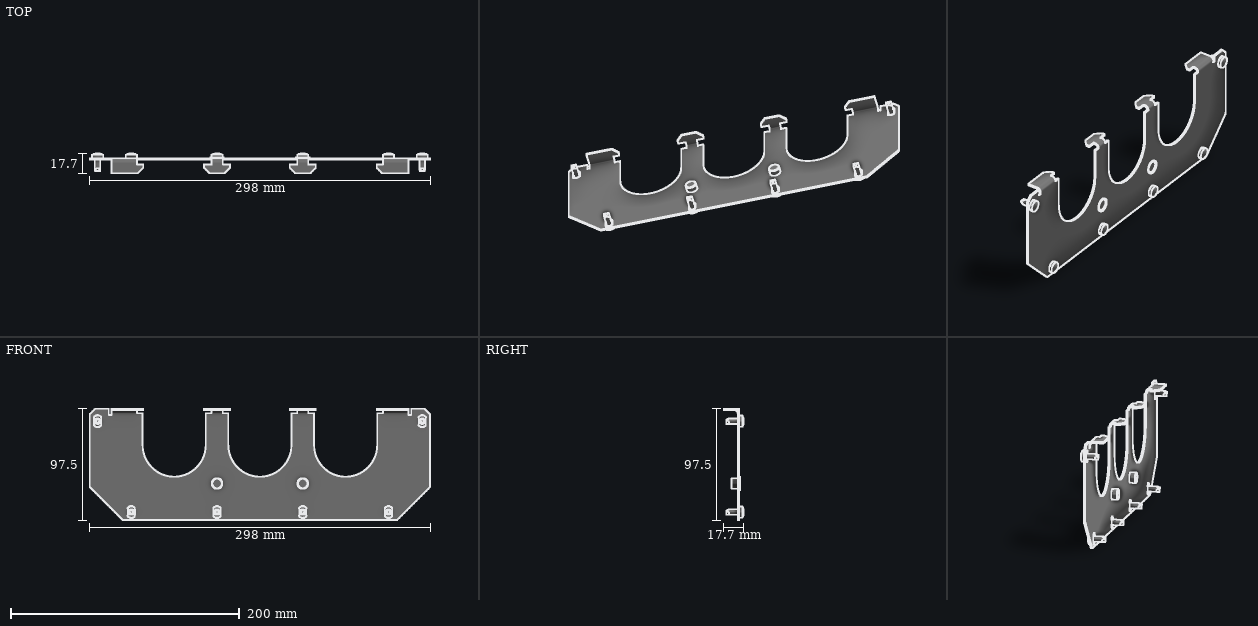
import cadquery as cq
import math

PLATE_LENGTH = 298.0
PLATE_HEIGHT = 97.5
SHEET = 1.5
TOP_CHAMFER = 5.0
BOTTOM_CHAMFER = 29.0

BAY_PITCH = 75.0
BAY_COUNT = 3
BAY_DIAMETER = 55.0
BAY_CENTRE_Z = 65.5
FINGER_WIDTH = BAY_PITCH - BAY_DIAMETER

BEND_OUTER_RADIUS = 4.0
BEND_INNER_RADIUS = BEND_OUTER_RADIUS - SHEET
TAB_REACH = 13.5
WING_START = 5.5
WING_CHAMFER = 5.0
FINGER_NECK_WIDTH = 10.0
FINGER_TAB_WIDTH = 23.0
END_NECK_WIDTH = 22.5
END_TAB_WIDTH = 28.0
END_TAB_OUTER_X = 130.0
NOTCH_WIDTH = 2.2
NOTCH_DEPTH = 5.5

SCREW_DIAMETER = 5.0
SCREW_LENGTH = 11.5
TIP_FLAT_LENGTH = 2.7
TIP_TRIANGLE_CIRCLE = 4.8
HEAD_DIAMETER = 10.0
OVERALL_DEPTH = 17.69
HEAD_HEIGHT = OVERALL_DEPTH - TAB_REACH
HEAD_RIM_HEIGHT = 2.7
SLOT_WIDTH = 6.5
SLOT_HEIGHT = 10.5
UPPER_SCREW_X = 142.0
UPPER_SCREW_Z = 86.5
LOWER_SCREW_Z = 7.0

PLUG_DIAMETER = 9.5
PLUG_REACH = 5.5
PLUG_CHAMFER = 0.6
COLLAR_DIAMETER = 12.0
COLLAR_THICKNESS = 0.8
PLUG_Z = 32.0

finger_centres = [-BAY_PITCH / 2, BAY_PITCH / 2]
bay_centres = [BAY_PITCH * (i - (BAY_COUNT - 1) / 2) for i in range(BAY_COUNT)]
outer_bay_edge = bay_centres[-1] + BAY_DIAMETER / 2
shoulder_z = PLATE_HEIGHT - BEND_OUTER_RADIUS
plug_places = [(x, PLUG_Z) for x in finger_centres]
screw_places = [(side * UPPER_SCREW_X, UPPER_SCREW_Z) for side in (-1, 1)]
screw_places += [(BAY_PITCH * (i - BAY_COUNT / 2), LOWER_SCREW_Z) for i in range(BAY_COUNT + 1)]


def front_plane(y):
    """Sketch plane at a given Y, drawn in X and Z; positive extrusion runs to -Y."""
    return cq.Workplane("XZ", origin=(0, y, 0))


def box_between(x_range, y_range, z_range):
    size = [high - low for low, high in (x_range, y_range, z_range)]
    return cq.Workplane("XY").box(*size, centered=False).translate((x_range[0], y_range[0], z_range[0]))


def plate_outline():
    """Flat sheet outline with the two top chamfers and the two bottom corner cuts."""
    sheet = front_plane(0).rect(PLATE_LENGTH, PLATE_HEIGHT).extrude(SHEET).translate((0, 0, PLATE_HEIGHT / 2))
    sheet = sheet.edges("|Y and >Z").chamfer(TOP_CHAMFER)
    return sheet.edges("|Y and <Z").chamfer(BOTTOM_CHAMFER)


def bay_cutter(centre_x):
    """Round-bottomed bay through the sheet, open at the top."""
    radius = BAY_DIAMETER / 2
    return (
        front_plane(0)
        .moveTo(centre_x - radius, PLATE_HEIGHT)
        .lineTo(centre_x - radius, BAY_CENTRE_Z)
        .threePointArc((centre_x, BAY_CENTRE_Z - radius), (centre_x + radius, BAY_CENTRE_Z))
        .lineTo(centre_x + radius, PLATE_HEIGHT)
        .close()
        .extrude(SHEET)
    )


def tab_bend(x_start, width):
    """Bent neck that rises from the shoulder and turns forward, as wide as the neck."""
    diagonal = math.sqrt(0.5)
    return (
        cq.Workplane("YZ", origin=(x_start, 0, 0))
        .moveTo(0, shoulder_z)
        .threePointArc(
            (-BEND_OUTER_RADIUS * (1 - diagonal), shoulder_z + BEND_OUTER_RADIUS * diagonal),
            (-BEND_OUTER_RADIUS, PLATE_HEIGHT),
        )
        .lineTo(-WING_START, PLATE_HEIGHT)
        .lineTo(-WING_START, PLATE_HEIGHT - SHEET)
        .lineTo(-BEND_OUTER_RADIUS, PLATE_HEIGHT - SHEET)
        .threePointArc(
            (-BEND_OUTER_RADIUS + BEND_INNER_RADIUS * diagonal, shoulder_z + BEND_INNER_RADIUS * diagonal),
            (-SHEET, shoulder_z),
        )
        .close()
        .extrude(width)
    )


def tab_wing(x_range, chamfered_corners):
    """Flat lip of a tab; the selected front corners are cut at 45 degrees."""
    wing = box_between(x_range, (-TAB_REACH, -WING_START), (PLATE_HEIGHT - SHEET, PLATE_HEIGHT))
    return wing.edges(chamfered_corners).chamfer(WING_CHAMFER)


def finger_tab(centre_x):
    neck = tab_bend(centre_x - FINGER_NECK_WIDTH / 2, FINGER_NECK_WIDTH)
    half_wing = FINGER_TAB_WIDTH / 2
    return neck.union(tab_wing((centre_x - half_wing, centre_x + half_wing), "|Z and <Y"))


def left_end_tab():
    """Tab beside the left corner, straight on the outside and winged toward the bay."""
    neck = tab_bend(-END_TAB_OUTER_X, END_NECK_WIDTH)
    return neck.union(tab_wing((-END_TAB_OUTER_X, END_TAB_WIDTH - END_TAB_OUTER_X), "|Z and <Y and >X"))


def left_end_relief():
    """Lowered shoulder under the left end tab, with a deeper notch on its outer side."""
    notch_edge = -END_TAB_OUTER_X - NOTCH_WIDTH
    shoulder = box_between((-END_TAB_OUTER_X, -outer_bay_edge), (-SHEET, 0), (shoulder_z, PLATE_HEIGHT))
    notch = box_between(
        (notch_edge, -END_TAB_OUTER_X), (-SHEET, 0), (PLATE_HEIGHT - NOTCH_DEPTH, PLATE_HEIGHT)
    )
    return shoulder.union(notch)


def finger_relief(centre_x):
    half_finger = FINGER_WIDTH / 2
    x_range = (centre_x - half_finger, centre_x + half_finger)
    return box_between(x_range, (-SHEET, 0), (shoulder_z, PLATE_HEIGHT))


def make_plate():
    plate = plate_outline()
    for x in bay_centres:
        plate = plate.cut(bay_cutter(x))
    for x in finger_centres:
        plate = plate.cut(finger_relief(x)).union(finger_tab(x))
    relief = left_end_relief()
    tab = left_end_tab()
    plate = plate.cut(relief).cut(relief.mirror("YZ"))
    plate = plate.union(tab).union(tab.mirror("YZ"))
    slots = front_plane(0).pushPoints(screw_places).slot2D(SLOT_HEIGHT, SLOT_WIDTH, 90).extrude(SHEET)
    holes = front_plane(0).pushPoints(plug_places).circle(PLUG_DIAMETER / 2).extrude(SHEET)
    return plate.cut(slots).cut(holes)


def screw_tip_pyramid():
    """Triangular pyramid frustum that leaves three flats on the shank tip, one of them facing up."""
    circle_per_inradius = 4
    end_inradius = TIP_TRIANGLE_CIRCLE / circle_per_inradius
    flat_slope = (SCREW_DIAMETER / 2 - end_inradius) / TIP_FLAT_LENGTH
    base_inradius = end_inradius + flat_slope * SCREW_LENGTH
    frustum = (
        front_plane(0)
        .polygon(3, base_inradius * circle_per_inradius)
        .workplane(offset=SCREW_LENGTH)
        .polygon(3, TIP_TRIANGLE_CIRCLE)
        .loft()
    )
    return frustum.rotate((0, 0, 0), (0, 1, 0), 90)


def make_screw(x, z):
    """Pan-head screw: head behind the plate, shank forward through its slot."""
    head_radius = HEAD_DIAMETER / 2
    dome_rise = HEAD_HEIGHT - HEAD_RIM_HEIGHT
    dome_radius = (head_radius**2 + dome_rise**2) / (2 * dome_rise)
    rim = front_plane(HEAD_HEIGHT).circle(head_radius).extrude(HEAD_HEIGHT)
    dome = cq.Workplane("XY").sphere(dome_radius).translate((0, HEAD_HEIGHT - dome_radius, 0))
    head = rim.intersect(dome)
    shank = front_plane(0).circle(SCREW_DIAMETER / 2).extrude(SCREW_LENGTH)
    shank = shank.intersect(screw_tip_pyramid())
    return head.union(shank).translate((x, 0, z))


def make_plug(x, z):
    """Round plug through the plate, held by its collar on the back."""
    collar = front_plane(COLLAR_THICKNESS).circle(COLLAR_DIAMETER / 2).extrude(COLLAR_THICKNESS)
    body = front_plane(0).circle(PLUG_DIAMETER / 2).extrude(SHEET + PLUG_REACH)
    body = body.faces("<Y").edges().chamfer(PLUG_CHAMFER)
    return collar.union(body).translate((x, 0, z))


plate = make_plate()
screws = [make_screw(x, z) for x, z in screw_places]
plugs = [make_plug(x, z) for x, z in plug_places]

result = cq.Compound.makeCompound(
    [plate.val(), *[screw.val() for screw in screws], *[plug.val() for plug in plugs]]
)